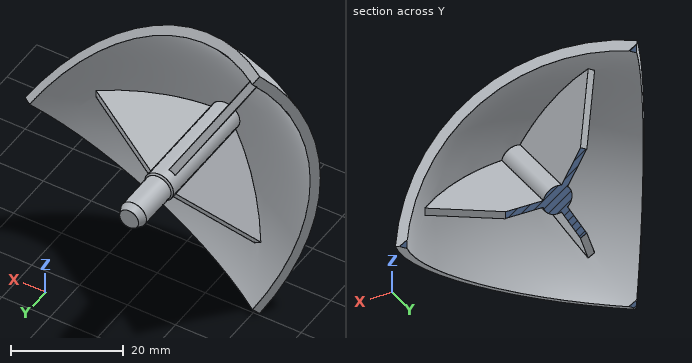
import cadquery as cq
import math


outer_radius = 40.0
wall = 2.0
inner_radius = outer_radius - wall

tip_y = -5.47
collar_radius = 3.0
shank_radius = 2.7
tip_radius = 2.0
tip_taper_length = 1.5
shank_length = 9.75
shoulder_length = 0.35

rib_count = 3
rib_thickness = 1.5
rib_top_depth = 12.1
rib_foot_radius = 22.5

embed_radius = outer_radius - wall / 2


def sphere_depth(radius, offset):
    """Y of a sphere's -Y side at a given offset from the Y axis."""
    return -math.sqrt(radius**2 - offset**2)


def make_shell():
    """Octant shell with one corner toward +X and two symmetric about Z = 0."""
    depth = -1 / math.sqrt(3)
    side_x = -1 / math.sqrt(6)
    side_z = -1 / math.sqrt(2)
    corner_plane = cq.Plane(
        origin=(0, 0, 0),
        xDir=(math.sqrt(2 / 3), depth, 0),
        normal=(side_x, depth, side_z),
    )

    def octant(radius):
        return cq.Workplane(corner_plane).sphere(radius, angle1=0, angle2=90, angle3=90)

    return octant(outer_radius).cut(octant(inner_radius))


def make_pin():
    """Stepped round pin with a tapered tip."""
    shank_end_y = tip_y - shank_length
    profile = [
        (0, tip_y),
        (tip_radius, tip_y),
        (shank_radius, tip_y - tip_taper_length),
        (shank_radius, shank_end_y),
        (collar_radius, shank_end_y - shoulder_length),
        (collar_radius, -embed_radius),
        (0, -embed_radius),
    ]
    return cq.Workplane("XY").polyline(profile).close().revolve(360, (0, 0), (0, 1))


def make_rib(angle):
    """Triangular rib from the collar to the shell, turned about the pin axis."""
    foot_y = sphere_depth(inner_radius, rib_foot_radius)
    embedded_foot_y = sphere_depth(embed_radius, rib_foot_radius)
    middle_radius = rib_foot_radius / 2
    top_y = tip_y - rib_top_depth
    top_radius = math.sqrt(collar_radius**2 - (rib_thickness / 2) ** 2)
    return (
        cq.Workplane("XY")
        .moveTo(0, top_y)
        .lineTo(top_radius, top_y)
        .lineTo(rib_foot_radius, foot_y)
        .lineTo(rib_foot_radius, embedded_foot_y)
        .threePointArc((middle_radius, sphere_depth(embed_radius, middle_radius)), (0, -embed_radius))
        .close()
        .extrude(rib_thickness / 2, both=True)
        .rotate((0, 0, 0), (0, 1, 0), angle)
    )


result = make_shell().union(make_pin())
for index in range(rib_count):
    result = result.union(make_rib(index * 360 / rib_count))